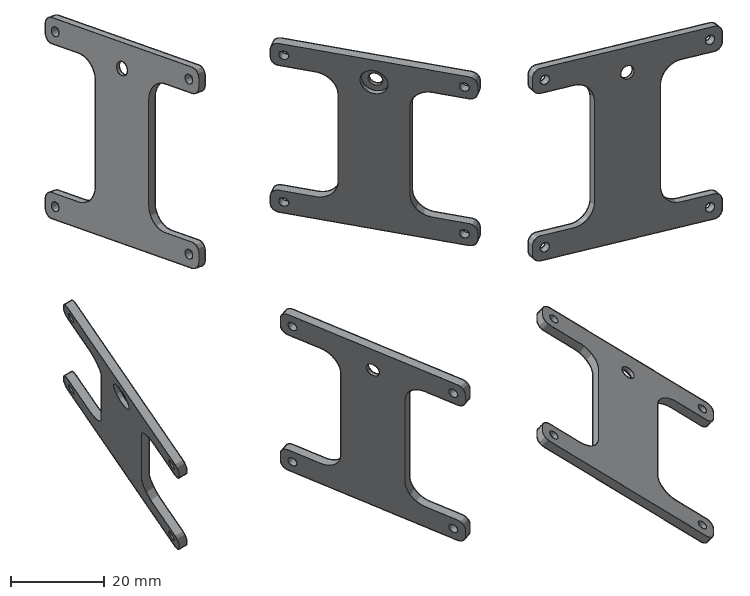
import cadquery as cq

plate_size = 46.0
thickness = 2.0
arm_height = 6.0
web_width = 16.0
corner_radius = 2.0
web_fillet_radius = 5.0

mount_hole_diameter = 2.2
mount_hole_inset = arm_height / 2
center_hole_diameter = 3.2
center_hole_drop = 6.0
counterbore_diameter = 6.2
counterbore_depth = 1.1

half_size = plate_size / 2
mount_spacing = plate_size - 2 * mount_hole_inset
web_height = plate_size - 2 * arm_height
notch_depth = (plate_size - web_width) / 2


def xz_block(width, height):
    """Block of plate thickness, centred on the origin."""
    return cq.Workplane("XY").box(width, thickness, height)


def make_plate():
    """I-shaped plate with rounded arm ends and filleted web."""
    plate = xz_block(plate_size, plate_size)
    for side in (-1, 1):
        notch_center = side * (half_size - notch_depth / 2)
        notch = xz_block(notch_depth, web_height).translate((notch_center, 0, 0))
        plate = plate.cut(notch)

    web_corners = cq.selectors.BoxSelector(
        (-web_width, -thickness, -half_size),
        (web_width, thickness, half_size),
    )
    plate = plate.edges("|Y").edges(web_corners).fillet(web_fillet_radius)
    return plate.faces("<X or >X").edges("|Y").fillet(corner_radius)


def back_cutter(points, diameter, depth):
    """Cylinders along Y that reach the given depth in from the back (+Y) face."""
    back_plane = cq.Workplane("XZ", origin=(0, thickness / 2, 0))
    return back_plane.pushPoints(points).circle(diameter / 2).extrude(depth)


mount_offset = mount_spacing / 2
mount_points = [(x * mount_offset, z * mount_offset) for x in (-1, 1) for z in (-1, 1)]
center_points = [(0, half_size - center_hole_drop)]

result = make_plate()
result = result.cut(back_cutter(mount_points, mount_hole_diameter, thickness))
result = result.cut(back_cutter(center_points, center_hole_diameter, thickness))
result = result.cut(back_cutter(center_points, counterbore_diameter, counterbore_depth))